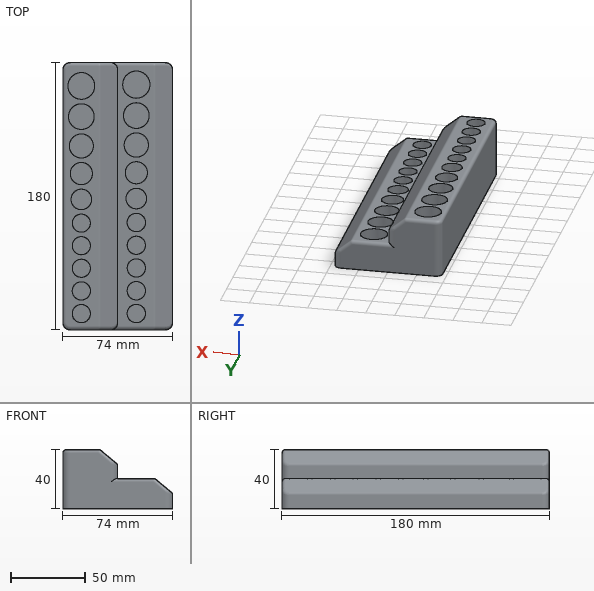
import cadquery as cq


length = 180.0
step_width = 37.0
rear_height = 40.0
front_height = 20.5

slope_run = 12.0
slope_drop = 10.0

corner_radius = 5.0
top_radius = 2.5

rear_diameters = [12.25, 12.28, 12.2, 12.2, 12.15, 13.8, 14.95, 16.2, 17.3, 18.0]
front_diameters = [12.35, 12.35, 12.28, 12.25, 12.4, 13.85, 14.9, 16.35, 17.3, 18.35]
hole_depth = 15.0
hole_wall = 3.0
end_margin = 4.9
row_offset = 12.5

total_width = 2 * step_width


def sloped_block(width, height):
    """Block from X = 0 to width with a sloped +X top edge, rounded corners and top edges."""
    profile = [
        (0, 0),
        (width, 0),
        (width, height - slope_drop),
        (width - slope_run, height),
        (0, height),
    ]
    block = cq.Workplane("XZ").polyline(profile).close().extrude(length / 2, both=True)
    block = block.edges("|Z").fillet(corner_radius)
    return block.edges("not(<Z or |Z)").fillet(top_radius)


def cut_hole_row(body, row_x, top, diameters):
    """Cut a row of blind holes, spaced along Y with equal walls between them."""
    edge_y = -length / 2 + end_margin
    for diameter in diameters:
        radius = diameter / 2
        floor_centre = (row_x, edge_y + radius, top - hole_depth)
        cutter = cq.Workplane("XY", origin=floor_centre).circle(radius).extrude(hole_depth)
        body = body.cut(cutter)
        edge_y += diameter + hole_wall
    return body


rear_step = sloped_block(step_width, rear_height)
front_step = sloped_block(total_width, front_height)
holder = rear_step.union(front_step)

holder = cut_hole_row(holder, row_offset, rear_height, rear_diameters)
holder = cut_hole_row(holder, step_width + row_offset, front_height, front_diameters)

result = holder